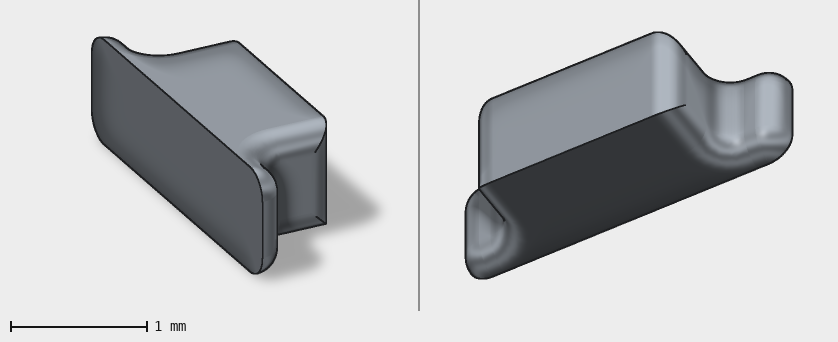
import cadquery as cq

length = 2.75
depth = 0.86
height = 0.86

edge_radius = 0.2
body_width = 1.755

half_height = height / 2
flat_half_height = half_height - edge_radius
wall_x = body_width / 2
core_x = wall_x - edge_radius
bend_x = wall_x + edge_radius
bend_y = 2 * edge_radius
core_bend_radius = 2 * edge_radius
tip_x = length / 2 - edge_radius
diagonal = 0.5 ** 0.5


def make_core():
    """Full-height centre, flaring out to the front face along concave arcs."""
    arc_offset = core_bend_radius * diagonal
    return (
        cq.Workplane("XY")
        .workplane(offset=-half_height)
        .moveTo(-bend_x, 0)
        .lineTo(bend_x, 0)
        .threePointArc((bend_x - arc_offset, bend_y - arc_offset), (core_x, bend_y))
        .lineTo(core_x, depth)
        .lineTo(-core_x, depth)
        .lineTo(-core_x, bend_y)
        .threePointArc((arc_offset - bend_x, bend_y - arc_offset), (-bend_x, 0))
        .close()
        .extrude(height)
    )


def rim_section(plane, base):
    """Flat-topped section with quarter-round ends, rising from `base` in local x."""
    arc_offset = edge_radius * diagonal
    top = base + edge_radius
    return (
        plane.moveTo(base, -half_height)
        .threePointArc((base + arc_offset, -flat_half_height - arc_offset), (top, -flat_half_height))
        .lineTo(top, flat_half_height)
        .threePointArc((base + arc_offset, flat_half_height + arc_offset), (base, half_height))
        .close()
    )


def make_side_wall():
    """Side of the body, with its rear corner rounded to leave mitred edges."""
    wall = rim_section(cq.Workplane("XZ", origin=(0, bend_y, 0)), core_x).extrude(bend_y - depth)
    rounded_body = (
        cq.Workplane("XY")
        .box(body_width, depth, height, centered=(True, False, True))
        .edges("|Z and >Y")
        .fillet(edge_radius)
    )
    return wall.intersect(rounded_body)


def make_bend():
    """Quarter turn joining the side wall to the foot."""
    section = rim_section(cq.Workplane("XZ", origin=(0, bend_y, 0)), core_x)
    return section.revolve(90, (bend_x, 0), (bend_x, 1))


def make_foot():
    """Straight foot ending in a quarter-round tip with spherical corners."""
    foot = rim_section(cq.Workplane("YZ", origin=(bend_x, 0, 0)), 0).extrude(tip_x - bend_x)
    tip = (
        cq.Workplane("XY", origin=(tip_x, 0, -flat_half_height))
        .circle(edge_radius)
        .extrude(2 * flat_half_height)
    )
    for corner_z in (-flat_half_height, flat_half_height):
        tip = tip.union(cq.Workplane("XY", origin=(tip_x, 0, corner_z)).sphere(edge_radius))
    tip_quadrant = cq.Workplane("XY", origin=(tip_x, 0, 0)).box(
        edge_radius, edge_radius, height, centered=(False, False, True)
    )
    return foot.union(tip.intersect(tip_quadrant))


side = make_side_wall().union(make_bend()).union(make_foot())
result = make_core().union(side).union(side.mirror("YZ")).clean()